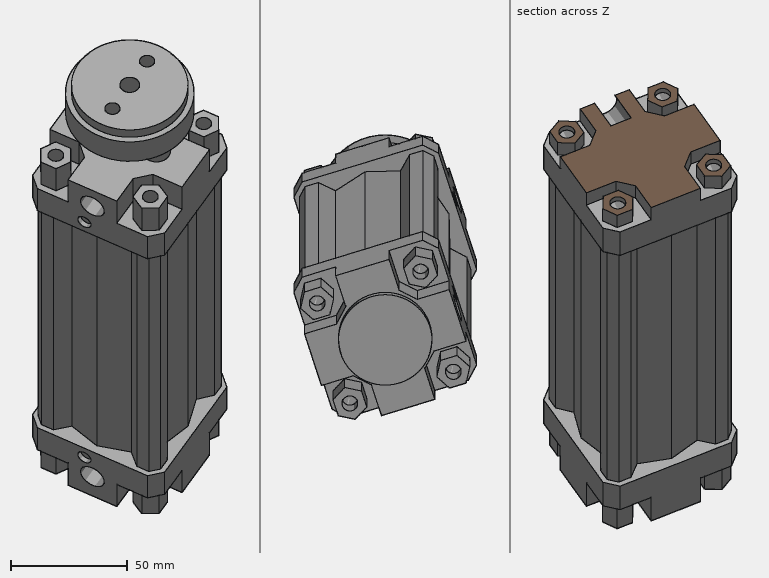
import cadquery as cq
import math

boss_height = 4.0
head_height = 30.0
ledge_height = head_height / 2
barrel_length = 146.5
rod_length = 18.8
disc_height = 13.0
rim_height = 5.0

head_width = 65.0
head_chamfer = 5.5
cross_width = 24.0
pocket_chamfer = 6.2
boss_diameter = 40.0

nut_offset = 23.2
nut_across_flats = 12.8
nut_hole_diameter = 6.7
nut_hole_depth = 10.0
nut_drill_angle = 118

port_diameter = 11.5
port_depth = 14.8
upper_port_inset = 10.5
lower_port_inset = 13.0
screw_hole_diameter = 6.5
screw_hole_depth = 2.5
screw_hole_x = -4.0
screw_hole_inset = 23.7

barrel_half_width = 30.1
corner_flat_end = 26.5
corner_flat_start = 20.5
groove_half_width = 14.5
groove_floor = 24.5
ridge_height = 28.7

rod_diameter = 12.0
rod_offset = 13.0
disc_diameter = 55.0
rim_diameter = 50.0
center_hole_diameter = 8.5
side_hole_diameter = 6.5
side_hole_offset = 15.0

lower_head_base = boss_height
barrel_base = lower_head_base + head_height
upper_head_base = barrel_base + barrel_length
upper_head_top = upper_head_base + head_height
disc_base = upper_head_top + rod_length
rim_base = disc_base + disc_height
piston_top = rim_base + rim_height


def cylinder(diameter, height, x, y, z):
    return cq.Workplane("XY", origin=(x, y, z)).circle(diameter / 2).extrude(height)


def front_hole(diameter, depth, x, z):
    """Blind hole drilled into the front (-Y) side of a head."""
    front = cq.Workplane("XZ", origin=(x, -head_width / 2, z))
    return front.circle(diameter / 2).extrude(-depth)


def corner_pocket(x_side, y_side):
    """Corner notch of a head, with its inner corner cut across."""
    inner = cross_width / 2
    outer = head_width / 2
    points = [
        (inner + pocket_chamfer, inner),
        (outer, inner),
        (outer, outer),
        (inner, outer),
        (inner, inner + pocket_chamfer),
    ]
    placed = [(x_side * x, y_side * y) for x, y in points]
    return cq.Workplane("XY", origin=(0, 0, ledge_height)).polyline(placed).close().extrude(ledge_height)


def nut(x_side, y_side):
    """Hexagonal nut; neighbouring nuts are turned by a quarter turn."""
    across_corners = nut_across_flats / math.cos(math.pi / 6)
    turn = 0 if x_side == y_side else 90
    hexagon = cq.Workplane("XY").polygon(6, across_corners).extrude(ledge_height)
    return hexagon.rotate((0, 0, 0), (0, 0, 1), turn).translate(
        (x_side * nut_offset, y_side * nut_offset, ledge_height)
    )


def nut_hole(x_side, y_side):
    """Drilled hole with a conical tip, going down from the top of a nut."""
    radius = nut_hole_diameter / 2
    tip_depth = nut_hole_depth + radius / math.tan(math.radians(nut_drill_angle / 2))
    profile = [(0, 0), (radius, 0), (radius, -nut_hole_depth), (0, -tip_depth)]
    drill = cq.Workplane("XZ").polyline(profile).close().revolve(360, (0, 0), (0, 1))
    return drill.translate((x_side * nut_offset, y_side * nut_offset, head_height))


def make_head(port_inset):
    """Head with its inner face at z = 0 and its outer face on top."""
    head = cq.Workplane("XY").rect(head_width, head_width).extrude(head_height)
    head = head.edges("|Z").chamfer(head_chamfer)
    for x_side in (-1, 1):
        for y_side in (-1, 1):
            head = head.cut(corner_pocket(x_side, y_side))
            head = head.union(nut(x_side, y_side))
            head = head.cut(nut_hole(x_side, y_side))
    head = head.cut(front_hole(port_diameter, port_depth, 0, head_height - port_inset))
    return head.cut(
        front_hole(screw_hole_diameter, screw_hole_depth, screw_hole_x, head_height - screw_hole_inset)
    )


def make_barrel():
    """Extruded barrel with chamfered corners and a shallow ridge in the groove of each side."""
    side = [
        (-corner_flat_end, -barrel_half_width),
        (-corner_flat_start, -barrel_half_width),
        (-groove_half_width, -groove_floor),
        (0, -ridge_height),
        (groove_half_width, -groove_floor),
        (corner_flat_start, -barrel_half_width),
        (corner_flat_end, -barrel_half_width),
    ]
    outline = []
    for _ in range(4):
        outline.extend(side)
        side = [(-y, x) for x, y in side]
    return cq.Workplane("XY", origin=(0, 0, barrel_base)).polyline(outline).close().extrude(barrel_length)


def make_cylinder_body():
    lower_head = make_head(lower_port_inset).mirror("XY").translate((0, 0, barrel_base))
    upper_head = make_head(upper_port_inset).translate((0, 0, upper_head_base))
    base_boss = cylinder(boss_diameter, boss_height, 0, 0, 0)
    return make_barrel().union(lower_head).union(upper_head).union(base_boss)


def make_piston():
    piston = cylinder(disc_diameter, disc_height, 0, 0, disc_base)
    piston = piston.union(cylinder(rim_diameter, rim_height, 0, 0, rim_base))
    for x in (-rod_offset, rod_offset):
        piston = piston.union(cylinder(rod_diameter, rod_length, x, 0, upper_head_top))
    hole_depth = piston_top - disc_base
    piston = piston.cut(cylinder(center_hole_diameter, hole_depth, 0, 0, disc_base))
    for y in (-side_hole_offset, side_hole_offset):
        piston = piston.cut(cylinder(side_hole_diameter, hole_depth, 0, y, disc_base))
    return piston


cylinder_body = make_cylinder_body()
piston = make_piston()

result = cq.Compound.makeCompound([cylinder_body.val(), piston.val()])